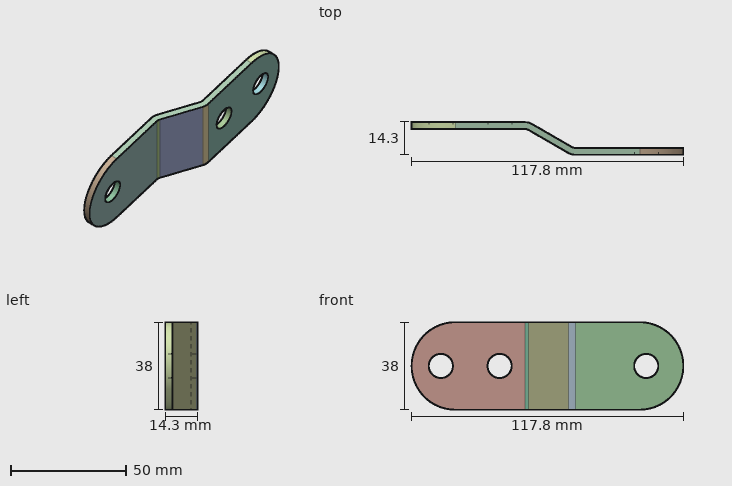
import cadquery as cq
import math

length = 117.8
width = 38.0
depth = 14.3
thickness = 3.1
inner_radius = 3.1
bend_angle = math.radians(30)
bend_start = 49.1
hole_diameter = 10.4
hole_distances = (12.7, 38.2, 101.6)

outer_radius = inner_radius + thickness
offset = depth - thickness
bend_drop = (inner_radius + outer_radius) * (1 - math.cos(bend_angle))
ramp_length = (offset - bend_drop) / math.sin(bend_angle)
bend_run = (inner_radius + outer_radius) * math.sin(bend_angle)
bend_end = bend_start + bend_run + ramp_length * math.cos(bend_angle)

first_center = (bend_start, offset - inner_radius)
second_center = (bend_end, outer_radius)


def first_bend(radius, angle):
    """Point on the first bend, turned by angle from the left leg."""
    x, y = first_center
    return x + radius * math.sin(angle), y + radius * math.cos(angle)


def second_bend(radius, angle):
    """Point on the second bend, turned by angle from the right leg."""
    x, y = second_center
    return x - radius * math.sin(angle), y - radius * math.cos(angle)


def bent_strip():
    half = bend_angle / 2
    return (
        cq.Workplane("XY")
        .workplane(offset=-width / 2)
        .moveTo(0, depth)
        .lineTo(bend_start, depth)
        .threePointArc(first_bend(outer_radius, half), first_bend(outer_radius, bend_angle))
        .lineTo(*second_bend(inner_radius, bend_angle))
        .threePointArc(second_bend(inner_radius, half), second_bend(inner_radius, 0))
        .lineTo(length, thickness)
        .lineTo(length, 0)
        .lineTo(bend_end, 0)
        .threePointArc(second_bend(outer_radius, half), second_bend(outer_radius, bend_angle))
        .lineTo(*first_bend(inner_radius, bend_angle))
        .threePointArc(first_bend(inner_radius, half), first_bend(inner_radius, 0))
        .lineTo(0, offset)
        .close()
        .extrude(width)
    )


def rounded_outline():
    """Full-round outline, extruded through the whole depth."""
    return (
        cq.Workplane("XZ")
        .center(length / 2, 0)
        .slot2D(length, width)
        .extrude(-depth)
    )


def holes():
    return (
        cq.Workplane("XZ")
        .pushPoints([(distance, 0) for distance in hole_distances])
        .circle(hole_diameter / 2)
        .extrude(-depth)
    )


result = bent_strip().intersect(rounded_outline()).cut(holes())